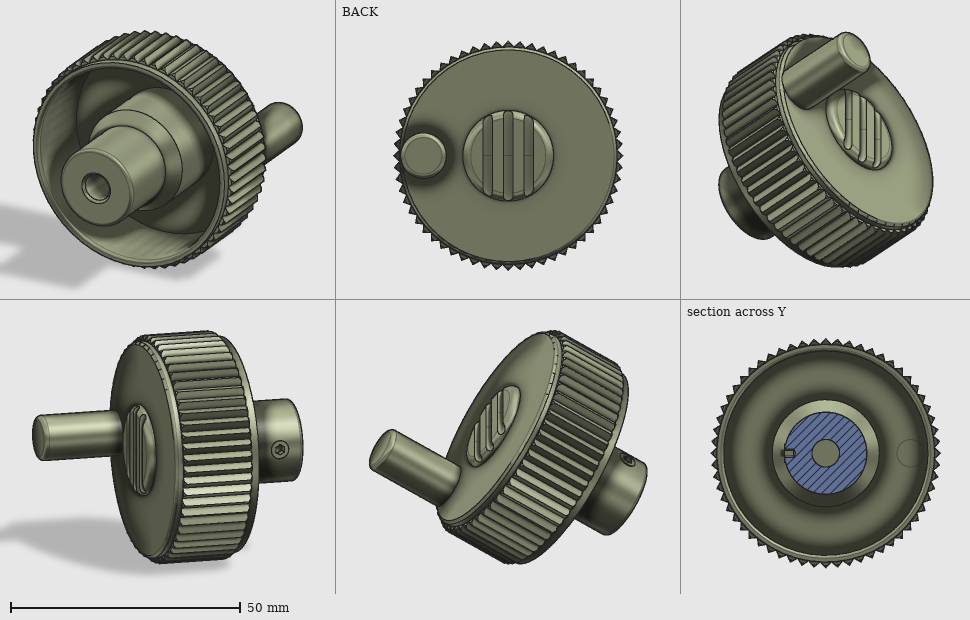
import cadquery as cq
import math

overall_length = 52.0

rim_front = 15.0
rim_back = 34.15
rim_radius = 47.45 / 2
rim_bore_radius = 44.6 / 2
rim_edge_round = 0.6
web_thickness = 1.9
web_front = rim_back - web_thickness

tooth_count = 60
tooth_tip_radius = 25.0
knurl_front = 16.85
knurl_back = 32.45
knurl_chamfer = 0.5

hub_radius = 18.0 / 2
hub_base_radius = 23.4 / 2
hub_cone_start = 15.25
hub_cone_end = hub_cone_start + hub_base_radius - hub_radius
hub_end_round = 0.7
bore_radius = 6.0 / 2
bore_chamfer = 0.55

screw_y = 5.45
screw_radius = 4.0 / 2
socket_tip_angle = 118.0
socket_across_flats = 2.0
socket_depth = 2.0
socket_corner_diameter = socket_across_flats / math.cos(math.pi / 6)

cap_radius = 19.8 / 2
cap_height = 1.7
groove_pitch = 4.5
groove_radius = 1.05

handle_offset = 18.5
handle_radius = 10.0 / 2
handle_round = 1.0
pin_radius = 6.0 / 2


def cross_section(y, x=0):
    """Workplane across the wheel axis, extruding towards +Y."""
    return cq.Workplane(cq.Plane(origin=(x, y, 0), xDir=(1, 0, 0), normal=(0, 1, 0)))


def disc(radius, start, end, x=0):
    """Cylinder along +Y between two Y positions."""
    return cross_section(start, x).circle(radius).extrude(end - start)


def wheel_body():
    rim = disc(rim_radius, rim_front, rim_back).faces(">Y").edges().fillet(rim_edge_round)
    hollow = disc(rim_bore_radius, rim_front, web_front)
    inner_edge = cq.selectors.RadiusNthSelector(0)
    return rim.cut(hollow).faces("<Y").edges(inner_edge).fillet(rim_edge_round)


def knurled_band():
    outline = []
    for i in range(2 * tooth_count):
        angle = math.pi * i / tooth_count
        radius = tooth_tip_radius if i % 2 == 0 else rim_radius
        outline.append((radius * math.cos(angle), radius * math.sin(angle)))
    band = cross_section(knurl_front).polyline(outline).close().extrude(knurl_back - knurl_front)
    envelope = disc(tooth_tip_radius, knurl_front, knurl_back).edges().chamfer(knurl_chamfer)
    inside = disc((rim_radius + rim_bore_radius) / 2, knurl_front, knurl_back)
    return band.intersect(envelope).cut(inside)


def hub():
    profile = [
        (0, 0),
        (hub_radius, 0),
        (hub_radius, hub_cone_start),
        (hub_base_radius, hub_cone_end),
        (hub_base_radius, rim_back),
        (0, rim_back),
    ]
    body = cq.Workplane("XY").polyline(profile).close().revolve(360, (0, 0), (0, 1))
    return body.faces("<Y").edges().fillet(hub_end_round)


def bore():
    mouth_radius = bore_radius + bore_chamfer
    profile = [
        (0, 0),
        (mouth_radius, 0),
        (bore_radius, bore_chamfer),
        (bore_radius, rim_back),
        (0, rim_back),
    ]
    return cq.Workplane("XY").polyline(profile).close().revolve(360, (0, 0), (0, 1))


def cap():
    flat_radius = cap_radius - cap_height
    top = rim_back + cap_height
    body = (
        cq.Workplane("XY", origin=(0, rim_back, 0))
        .lineTo(cap_radius, 0)
        .radiusArc((flat_radius, cap_height), -cap_height)
        .lineTo(0, cap_height)
        .close()
        .revolve(360, (0, 0), (0, 1))
    )
    for x in (-groove_pitch, 0, groove_pitch):
        groove = (
            cq.Workplane("XY", origin=(x, top, 0))
            .circle(groove_radius)
            .extrude(cap_radius, both=True)
        )
        body = body.cut(groove)
    return body


def set_screw_face():
    """Flat end of the screw, touching the outside of the hub and facing its axis."""
    return cq.Workplane(cq.Plane(origin=(-hub_radius, screw_y, 0), xDir=(0, 0, 1), normal=(1, 0, 0)))


def set_screw_blank():
    return set_screw_face().circle(screw_radius).extrude(hub_radius - bore_radius)


def hex_socket():
    socket = set_screw_face().polygon(6, socket_corner_diameter).extrude(socket_depth)
    tip_radius = socket_across_flats / 2
    tip_length = tip_radius / math.tan(math.radians(socket_tip_angle / 2))
    tip = cq.Solid.makeCone(
        tip_radius,
        0,
        tip_length,
        pnt=cq.Vector(socket_depth - hub_radius, screw_y, 0),
        dir=cq.Vector(1, 0, 0),
    )
    return socket.union(cq.Workplane(tip))


def handle():
    grip = disc(handle_radius, rim_back, overall_length, handle_offset)
    return grip.faces(">Y").edges().fillet(handle_round)


wheel = wheel_body().union(knurled_band()).union(hub())
wheel = wheel.cut(bore()).union(set_screw_blank()).cut(hex_socket())
wheel = wheel.union(cap()).union(handle())

pin = disc(pin_radius, web_front, rim_back, handle_offset)
result = wheel.union(pin, clean=False)